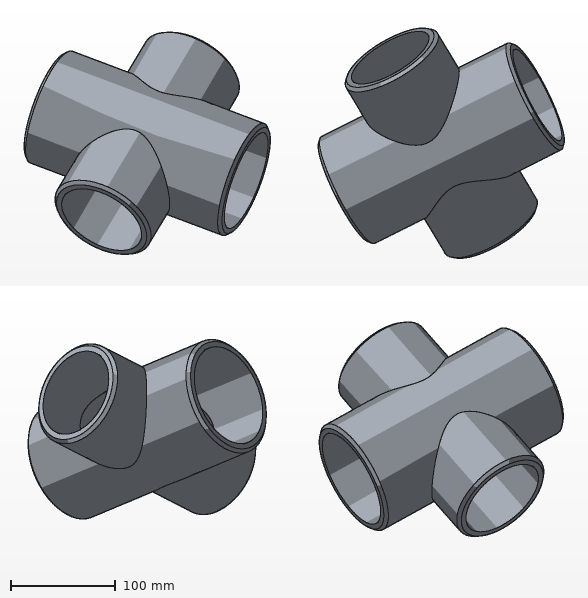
import cadquery as cq

run_length = 209.3
run_diameter = 114.3
run_bore = 97.5

branch_length = 203.2
branch_diameter = 101.7
branch_bore = 84.5

end_chamfer = 3.1


def centred_cylinder(plane, diameter, length):
    """Cylinder centred on the origin, with its axis normal to the plane."""
    return cq.Workplane(plane).circle(diameter / 2).extrude(length / 2, both=True)


def chamfered_bar(plane, diameter, length):
    """Solid bar with both end rims chamfered."""
    return centred_cylinder(plane, diameter, length).edges("%CIRCLE").chamfer(end_chamfer)


run = chamfered_bar("YZ", run_diameter, run_length)
branch = chamfered_bar("XZ", branch_diameter, branch_length)
body = run.union(branch)

result = body.cut(centred_cylinder("YZ", run_bore, run_length))
result = result.cut(centred_cylinder("XZ", branch_bore, branch_length))